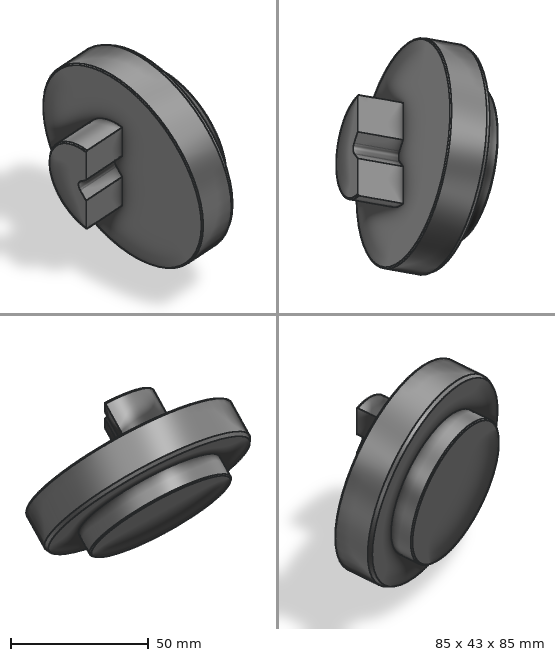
import cadquery as cq
import math

flange_diameter = 85.0
flange_thickness = 16.0
spigot_diameter = 58.5
spigot_height = 9.0
pin_diameter = 39.95
pin_height = 18.0

small_chamfer = 0.5
flange_rear_chamfer_depth = 1.5
flange_rear_chamfer_width = 0.85

notch_half_opening = 5.3
notch_tip_radius = 3.0


def cylinder_along_y(diameter, start, length):
    """Solid cylinder from Y = start towards +Y."""
    plane = cq.Workplane("XZ", origin=(0, start, 0))
    return plane.circle(diameter / 2).extrude(-length)


def make_flange():
    flange = cylinder_along_y(flange_diameter, 0, flange_thickness)
    flange = flange.faces("<Y").edges().chamfer(small_chamfer)
    rim = flange.faces(">Y").edges()
    return rim.chamfer(flange_rear_chamfer_depth, flange_rear_chamfer_width)


def make_spigot():
    spigot = cylinder_along_y(spigot_diameter, flange_thickness, spigot_height)
    return spigot.faces(">Y").edges().chamfer(small_chamfer)


def make_notch():
    """Prism with a 90 degree V, rounded at its tip, open towards +X."""
    diagonal = math.sqrt(0.5)
    apex_x = -notch_half_opening
    arc_center_x = apex_x + notch_tip_radius / diagonal
    tangent_x = arc_center_x - notch_tip_radius * diagonal
    tangent_z = notch_tip_radius * diagonal
    return (
        cq.Workplane("XZ")
        .moveTo(0, notch_half_opening)
        .lineTo(tangent_x, tangent_z)
        .threePointArc((arc_center_x - notch_tip_radius, 0), (tangent_x, -tangent_z))
        .lineTo(0, -notch_half_opening)
        .close()
        .extrude(pin_height)
    )


def make_pin():
    """Half-round pin on the -X side, its flat lying on the axis."""
    pin = cylinder_along_y(pin_diameter, -pin_height, pin_height)
    pin = pin.faces("<Y").edges().chamfer(small_chamfer)
    removed_half = cq.Workplane("XY").box(
        pin_diameter, pin_height, pin_diameter, centered=(False, False, True)
    ).translate((0, -pin_height, 0))
    return pin.cut(removed_half).cut(make_notch())


result = make_flange().union(make_spigot()).union(make_pin())